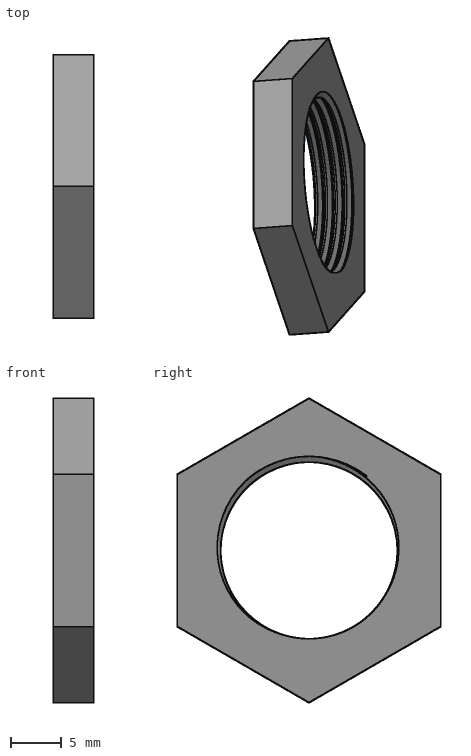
import cadquery as cq
import math

across_flats = 26.0
thickness = 4.0
across_corners = across_flats / math.cos(math.pi / 6)

minor_radius = 8.7
major_radius = 9.28
pitch = 1.0
root_width = pitch / 8
flank_half_angle = math.radians(30)
bore_overlap = 0.1
end_overrun = pitch
start_angle = 200.0


def make_bored_plate():
    plate = (
        cq.Workplane("YZ")
        .polygon(6, across_corners)
        .extrude(thickness)
        .rotate((0, 0, 0), (1, 0, 0), 90)
    )
    bore = cq.Workplane("YZ").circle(minor_radius).extrude(thickness)
    return plate.cut(bore)


def make_thread_groove():
    """Helical trapezoidal cutter, swept along Z and then laid along X."""
    inner_radius = minor_radius - bore_overlap
    half_root = root_width / 2
    half_mouth = half_root + (major_radius - inner_radius) * math.tan(flank_half_angle)
    path = cq.Wire.makeHelix(pitch, thickness + 2 * end_overrun, inner_radius)
    groove = (
        cq.Workplane("XZ")
        .moveTo(inner_radius, -half_mouth)
        .lineTo(major_radius, -half_root)
        .lineTo(major_radius, half_root)
        .lineTo(inner_radius, half_mouth)
        .close()
        .sweep(path, isFrenet=True)
    )
    return (
        groove.translate((0, 0, -end_overrun))
        .rotate((0, 0, 0), (0, 1, 0), 90)
        .rotate((0, 0, 0), (1, 0, 0), start_angle)
    )


result = make_bored_plate().cut(make_thread_groove())